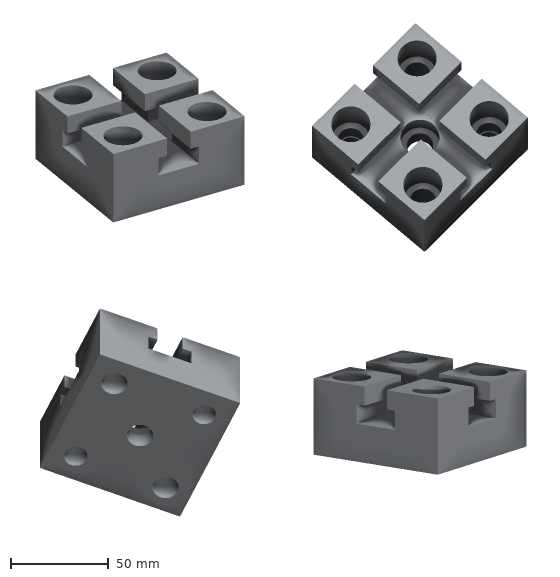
import cadquery as cq

side = 78.0
height = 40.0

neck_width = 14.0
undercut_width = 24.0
lip_thickness = 10.0
y_slot_depth = 20.0
x_slot_extra_depth = 0.15
x_slot_depth = y_slot_depth + x_slot_extra_depth
floor_z = height - x_slot_depth

bolt_spacing = 50.0
head_diameter = 20.0
clearance_diameter = 13.5
thread_diameter = 12.0
corner_seat_z = floor_z
centre_seat_z = floor_z / 2
thread_top_z = corner_seat_z / 2


def t_slot(depth, angle):
    """T-slot volume through the whole block, along X and then turned about Z by angle degrees."""
    slot_floor = cq.Workplane("XY", origin=(0, 0, height - depth))
    neck = slot_floor.rect(side, neck_width).extrude(depth)
    undercut = slot_floor.rect(side, undercut_width).extrude(depth - lip_thickness)
    return neck.union(undercut).rotate((0, 0, 0), (0, 0, 1), angle)


def bore(x, y, diameter, bottom_z, top_z):
    """Vertical cylinder between two heights."""
    return (
        cq.Workplane("XY", origin=(x, y, bottom_z))
        .circle(diameter / 2)
        .extrude(top_z - bottom_z)
    )


def clearance_hole(x, y, seat_z, top_z):
    """Counterbored through hole with its seat at seat_z."""
    head = bore(x, y, head_diameter, seat_z, top_z)
    shank = bore(x, y, clearance_diameter, 0, seat_z)
    return head.union(shank)


def threaded_hole(x, y):
    """Counterbored hole that narrows again to the thread core in its lower part."""
    head = bore(x, y, head_diameter, corner_seat_z, height)
    shank = bore(x, y, clearance_diameter, thread_top_z, corner_seat_z)
    core = bore(x, y, thread_diameter, 0, thread_top_z)
    return head.union(shank).union(core)


result = cq.Workplane("XY").rect(side, side).extrude(height)

result = result.cut(t_slot(x_slot_depth, 0))
result = result.cut(t_slot(y_slot_depth, 90))

result = result.cut(clearance_hole(0, 0, centre_seat_z, floor_z))

bolt_offset = bolt_spacing / 2
for sign in (-1, 1):
    x = sign * bolt_offset
    result = result.cut(clearance_hole(x, -x, corner_seat_z, height))
    result = result.cut(threaded_hole(x, x))